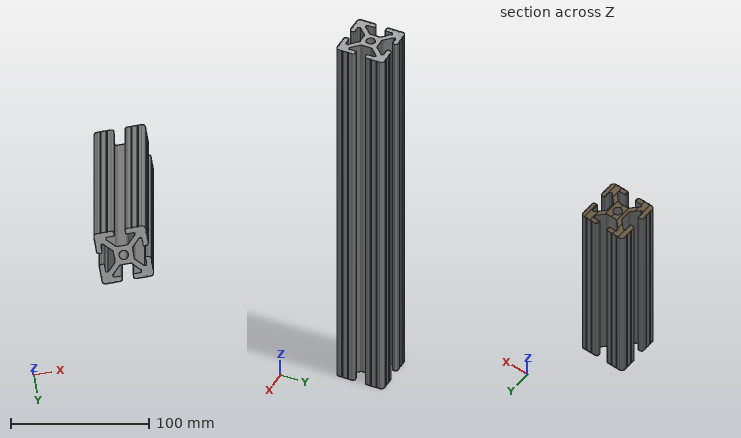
import cadquery as cq
import math

length = 304.8
side = 38.0
corner_radius = 2.7
bore_diameter = 6.7

mouth_width = 8.2
lip_thickness = 4.0
lip_radius = 1.8
lip_inner_radius = 0.5
undercut_width = 21.0
core_width = 14.0
web_thickness = 4.0
web_root_radius = 1.5
undercut_radius = 1.0

groove_width = 1.0
groove_depth = 0.45
inner_groove_offset = 9.0
outer_groove_offset = 13.7

half_side = side / 2
half_core = core_width / 2
half_mouth = mouth_width / 2
half_undercut = undercut_width / 2
web_shift = web_thickness / math.sqrt(2)


def make_half_slot():
    """Right half of the slot in the +Y face, from the centreline outwards."""
    lip_inner = half_side - lip_thickness
    outer_inset = lip_radius * (1 - math.cos(math.pi / 4))
    inner_inset = lip_inner_radius * (1 - math.cos(math.pi / 4))
    return (
        cq.Workplane("XY")
        .moveTo(0, half_core)
        .lineTo(half_core - web_shift, half_core)
        .lineTo(half_undercut, half_undercut + web_shift)
        .lineTo(half_undercut, lip_inner)
        .lineTo(half_mouth + lip_inner_radius, lip_inner)
        .threePointArc(
            (half_mouth + inner_inset, lip_inner + inner_inset),
            (half_mouth, lip_inner + lip_inner_radius),
        )
        .lineTo(half_mouth, half_side - lip_radius)
        .threePointArc(
            (half_mouth + outer_inset, half_side - outer_inset),
            (half_mouth + lip_radius, half_side),
        )
        .lineTo(0, half_side)
        .close()
        .extrude(length)
    )


def make_slot():
    """Complete T-slot with rounded web roots and undercut corners."""
    half_slot = make_half_slot()
    slot = half_slot.union(half_slot.mirror("YZ")).clean()
    slot = slot.edges("|Z").edges("<Y").fillet(web_root_radius)
    return slot.edges("|Z").edges("<X or >X").edges(">Y").fillet(undercut_radius)


def make_groove(offset):
    """V-groove in the +Y face at the given distance from the slot centreline."""
    return (
        cq.Workplane("XY")
        .polyline([
            (offset - groove_width / 2, half_side),
            (offset, half_side - groove_depth),
            (offset + groove_width / 2, half_side),
        ])
        .close()
        .extrude(length)
    )


def make_face_cuts():
    """Everything removed from the +Y face."""
    cuts = make_slot()
    for offset in (inner_groove_offset, outer_groove_offset):
        for direction in (-1, 1):
            cuts = cuts.union(make_groove(direction * offset))
    return cuts


result = (
    cq.Workplane("XY")
    .rect(side, side)
    .extrude(length)
    .edges("|Z")
    .fillet(corner_radius)
)
bore = cq.Workplane("XY").circle(bore_diameter / 2).extrude(length)
result = result.cut(bore)

face_cuts = make_face_cuts()
for angle in (0, 90, 180, 270):
    result = result.cut(face_cuts.rotate((0, 0, 0), (0, 0, 1), angle))